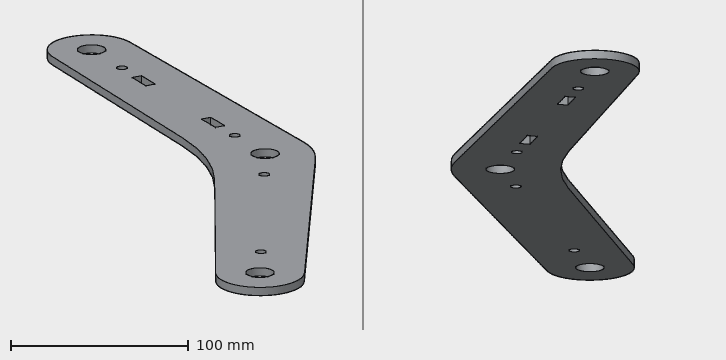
import cadquery as cq
import math

thickness = 5.0
leg_length = 200.0
bend_angle = 30.0
end_radius = 25.0
edge_taper = 1.0
outer_bend_radius = 50.0
inner_bend_radius = 150.0

pivot_diameter = 16.0
pin_diameter = 6.0
pin_inset = 35.0
slot_length = 16.0
slot_width = 6.0
slot_inset = 60.0


def polar(origin, distance, angle):
    """Point at a distance and an angle (degrees from +X) from an origin."""
    x = origin[0] + distance * math.cos(math.radians(angle))
    y = origin[1] + distance * math.sin(math.radians(angle))
    return (x, y)


first_pivot = (0.0, 0.0)
middle_pivot = (leg_length, 0.0)
last_pivot = polar(middle_pivot, leg_length, -bend_angle)


def bend_corner(side):
    """Sharp corner where the leg edges meet: side is 1 above the bend, -1 below it."""
    half_bend = math.radians(bend_angle / 2)
    taper = math.radians(edge_taper)
    edge_offset = end_radius + leg_length * math.sin(taper)
    reach = edge_offset / math.cos(half_bend + side * taper)
    bisector_angle = side * 90 - bend_angle / 2
    return polar(middle_pivot, reach, bisector_angle)


def make_plate():
    """Bent plate with round ends, tapered edges and rounded bend corners."""
    upper_corner = bend_corner(1)
    lower_corner = bend_corner(-1)
    tangent_angle = 90 + edge_taper
    plate = (
        cq.Workplane("XY")
        .moveTo(*polar(first_pivot, end_radius, tangent_angle))
        .lineTo(*upper_corner)
        .lineTo(*polar(last_pivot, end_radius, 90 - bend_angle - edge_taper))
        .threePointArc(
            polar(last_pivot, end_radius, -bend_angle),
            polar(last_pivot, end_radius, -90 - bend_angle + edge_taper),
        )
        .lineTo(*lower_corner)
        .lineTo(*polar(first_pivot, end_radius, -tangent_angle))
        .threePointArc(
            polar(first_pivot, end_radius, 180),
            polar(first_pivot, end_radius, tangent_angle),
        )
        .close()
        .extrude(thickness)
    )
    corner_radii = [(upper_corner, outer_bend_radius), (lower_corner, inner_bend_radius)]
    for corner, radius in corner_radii:
        corner_edge = cq.NearestToPointSelector((*corner, thickness / 2))
        plate = plate.edges("|Z").edges(corner_edge).fillet(radius)
    return plate


def cut_holes(plate, centers, diameter):
    """Cut round through holes at the given centres."""
    holes = cq.Workplane("XY").pushPoints(centers).circle(diameter / 2).extrude(thickness)
    return plate.cut(holes)


def cut_slots(plate):
    """Cut the two rectangular through slots along the first leg."""
    centers = [(slot_inset, 0), (leg_length - slot_inset, 0)]
    slots = cq.Workplane("XY").pushPoints(centers).rect(slot_length, slot_width).extrude(thickness)
    return plate.cut(slots)


pin_centers = []
for leg_start, leg_angle in [(first_pivot, 0), (middle_pivot, -bend_angle)]:
    for distance in [pin_inset, leg_length - pin_inset]:
        pin_centers.append(polar(leg_start, distance, leg_angle))

result = make_plate()
result = cut_holes(result, [first_pivot, middle_pivot, last_pivot], pivot_diameter)
result = cut_holes(result, pin_centers, pin_diameter)
result = cut_slots(result)